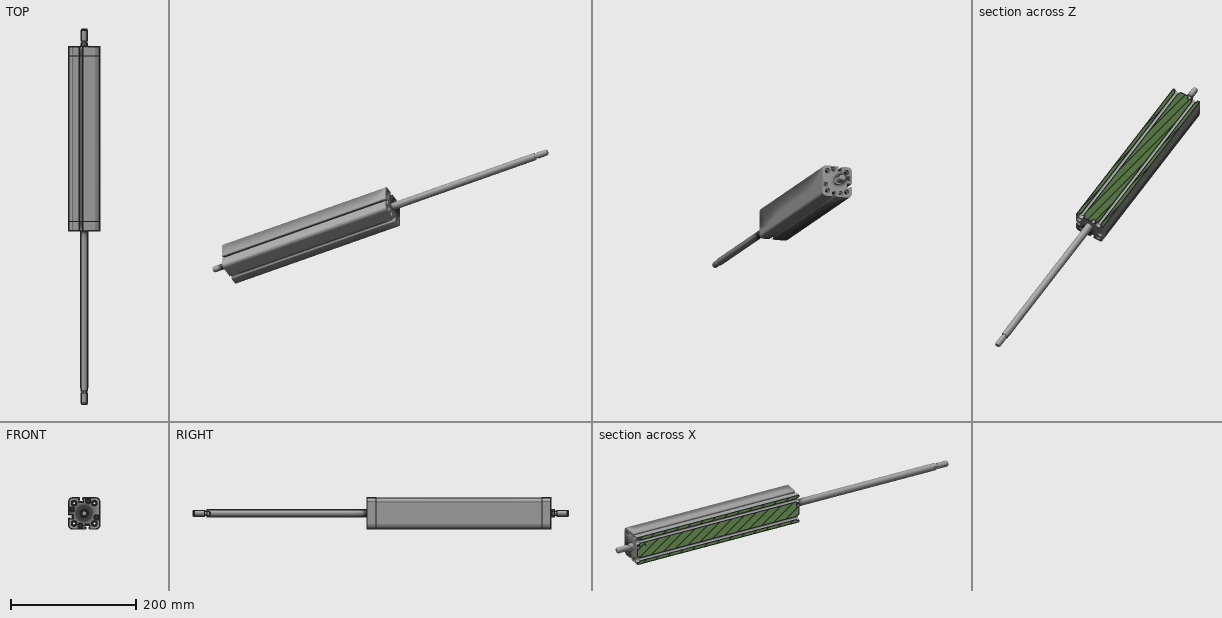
import cadquery as cq
import math

cap_side = 50.1
barrel_side = 50.0
body_length = 294.5
cap_length = 14.5
corner_radius = 6.4

stroke = 250.0
rod_diameter = 12.0
rod_shoulder = 6.0
stud_diameter = 10.0
stud_length = 22.0
stud_chamfer_radial = 1.0
stud_chamfer_length = 2.2
undercut_diameter = 7.5
undercut_length = 3.5
flat_width = 10.0
flat_length = 4.0
flat_slope_angle = 30.0
wiper_diameter = 13.6
wiper_depth = 1.0

mount_offset = 16.25
mount_bore_diameter = 9.0
mount_bore_depth = 5.0
mount_hole_diameter = 4.92

slot_offset = -5.05
slot_mouth_width = 6.7
slot_lip_width = 4.5
slot_inner_width = 7.1
slot_flare_depth = 1.0
slot_lip_depth = 2.5
barrel_slot_depth = 5.8
cap_slot_depth = 8.0
slot_side_angles = (0, 90, 180)

pocket_offset = 6.3
pocket_axis_height = 19.3
pocket_diameter = 7.9
pocket_top = 23.0
pocket_depth = 5.0
screw_socket_diameter = 4.92
screw_socket_depth = 3.0
quarter_turns = (0, 90, 180, 270)

front_face = -body_length / 2
rear_face = body_length / 2
front_shoulder = front_face - stroke - rod_shoulder
rear_shoulder = rear_face + rod_shoulder


def section_plane(y):
    """Plane across the part at y: local x is X, local y is Z, extrusion runs toward -Y."""
    return cq.Workplane("XZ", origin=(0, y, 0))


def square_bar(side, y_start, y_end):
    bar = section_plane(y_end).rect(side, side).extrude(y_end - y_start)
    return bar.edges("|Y").fillet(corner_radius)


def turned(shape, angle):
    """Turn a shape about the rod axis, counterclockwise from the top side toward -X."""
    return shape.rotate((0, 0, 0), (0, -1, 0), angle)


def both_ends(front_shape):
    """The shape at the front end together with its mirror image at the rear end."""
    return front_shape.union(front_shape.mirror("XZ"))


def make_body():
    body = square_bar(barrel_side, front_face, rear_face)
    body = body.union(square_bar(cap_side, front_face, front_face + cap_length))
    return body.union(square_bar(cap_side, rear_face - cap_length, rear_face))


def make_slot_length(floor_depth, y_start, y_end):
    """Cutter for one stretch of the top sensor slot: flared mouth, narrow lips, wide inside."""
    top = cap_side / 2
    lip_z = top - slot_flare_depth
    inner_top_z = top - slot_lip_depth
    floor_z = top - floor_depth
    right_side = [
        (slot_mouth_width / 2, top),
        (slot_lip_width / 2, lip_z),
        (slot_lip_width / 2, inner_top_z),
        (slot_inner_width / 2, inner_top_z),
        (slot_inner_width / 2, floor_z),
    ]
    left_side = [(-x, z) for x, z in reversed(right_side)]
    outline = section_plane(y_end).center(slot_offset, 0).polyline(right_side + left_side)
    return outline.close().extrude(y_end - y_start)


def make_sensor_slot():
    barrel_slot = make_slot_length(barrel_slot_depth, front_face, rear_face)
    cap_slot = make_slot_length(cap_slot_depth, front_face, front_face + cap_length)
    return barrel_slot.union(both_ends(cap_slot))


def make_mounting_holes():
    square = section_plane(rear_face).rect(2 * mount_offset, 2 * mount_offset, forConstruction=True)
    holes = square.vertices().circle(mount_hole_diameter / 2).extrude(body_length)
    bores = section_plane(front_face + mount_bore_depth)
    bores = bores.rect(2 * mount_offset, 2 * mount_offset, forConstruction=True)
    bores = bores.vertices().circle(mount_bore_diameter / 2).extrude(mount_bore_depth)
    return holes.union(both_ends(bores))


def make_screw_pocket():
    radius = pocket_diameter / 2
    pocket = (
        section_plane(front_face + pocket_depth)
        .center(pocket_offset, pocket_axis_height)
        .moveTo(-radius, 0)
        .threePointArc((0, -radius), (radius, 0))
        .lineTo(radius, pocket_top - pocket_axis_height)
        .lineTo(-radius, pocket_top - pocket_axis_height)
        .close()
        .extrude(pocket_depth)
    )
    socket_depth = pocket_depth + screw_socket_depth
    socket = section_plane(front_face + socket_depth).center(pocket_offset, pocket_axis_height)
    return pocket.union(socket.circle(screw_socket_diameter / 2).extrude(socket_depth))


def make_wiper_recess():
    recess = section_plane(front_face + wiper_depth)
    recess = recess.circle(wiper_diameter / 2).circle(rod_diameter / 2).extrude(wiper_depth)
    return both_ends(recess)


def make_stud():
    """Front stud on the rod axis, with its root at Y = 0."""
    undercut = section_plane(0).circle(undercut_diameter / 2).extrude(undercut_length)
    chamfer_start = stud_chamfer_length - stud_length
    thread = section_plane(-undercut_length).circle(stud_diameter / 2)
    thread = thread.extrude(-undercut_length - chamfer_start)
    tip = section_plane(chamfer_start).circle(stud_diameter / 2)
    tip = tip.workplane(offset=stud_chamfer_length).circle(stud_diameter / 2 - stud_chamfer_radial)
    return undercut.union(thread).union(tip.loft())


def make_wrench_flat():
    """Cutter for the flat on the +X side of the front rod end, with the shoulder at Y = 0."""
    flat_x = flat_width / 2
    outer_x = rod_diameter / 2
    slope_length = (outer_x - flat_x) / math.tan(math.radians(flat_slope_angle))
    outline = [
        (flat_x, 0),
        (flat_x, flat_length),
        (outer_x, flat_length + slope_length),
        (outer_x, 0),
    ]
    return cq.Workplane("XY").polyline(outline).close().extrude(rod_diameter / 2, both=True)


def make_rod():
    rod = section_plane(rear_shoulder).circle(rod_diameter / 2).extrude(rear_shoulder - front_shoulder)
    stud = make_stud()
    flat = make_wrench_flat()
    flats = flat.union(flat.mirror("YZ"))
    rod = rod.union(stud.translate((0, front_shoulder, 0)))
    rod = rod.union(stud.mirror("XZ").translate((0, rear_shoulder, 0)))
    rod = rod.cut(flats.translate((0, front_shoulder, 0)))
    return rod.cut(flats.mirror("XZ").translate((0, rear_shoulder, 0)))


body = make_body()
for angle in slot_side_angles:
    body = body.cut(turned(make_sensor_slot(), angle))
screw_pockets = both_ends(make_screw_pocket())
for angle in quarter_turns:
    body = body.cut(turned(screw_pockets, angle))
body = body.cut(make_mounting_holes())
body = body.cut(make_wiper_recess())
result = body.union(make_rod())